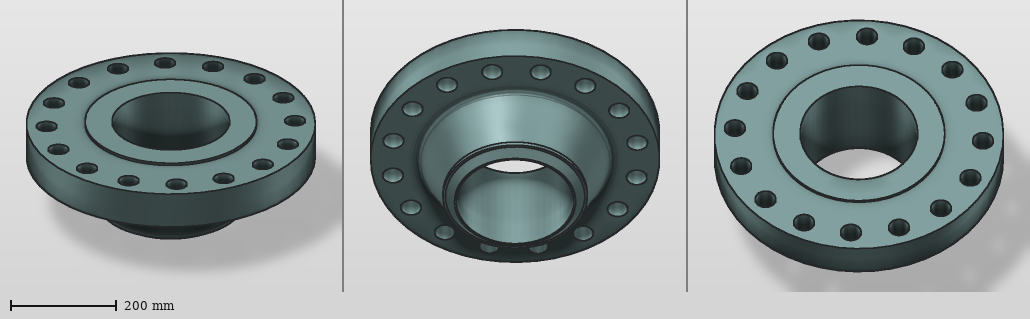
import cadquery as cq

flange_diameter = 546.0
flange_thickness = 71.0

face_diameter = 324.5
face_height = 5.0

overall_height = 190.5
hub_top_diameter = 366.0
hub_end_diameter = 273.0
hub_fillet = 15.5
bevel_start_diameter = 263.0
bevel_end_diameter = 229.5
bevel_height = 13.5
land_height = 8.0

bore_diameter = 222.0
bolt_count = 16
bolt_circle_diameter = 469.5
bolt_hole_diameter = 39.0

flange_bottom = -flange_thickness
hub_bottom = face_height - overall_height
land_bottom = hub_bottom + bevel_height
land_top = land_bottom + land_height


def make_body():
    """Revolve the half section of the flange, hub and bore about Z."""
    section = [
        (bore_diameter / 2, face_height),
        (face_diameter / 2, face_height),
        (face_diameter / 2, 0),
        (flange_diameter / 2, 0),
        (flange_diameter / 2, flange_bottom),
        (hub_top_diameter / 2, flange_bottom),
        (hub_end_diameter / 2, land_top),
        (hub_end_diameter / 2, land_bottom),
        (bevel_start_diameter / 2, land_bottom),
        (bevel_end_diameter / 2, hub_bottom),
        (bore_diameter / 2, hub_bottom),
    ]
    body = cq.Workplane("XZ").polyline(section).close().revolve(360, (0, 0), (0, 1))
    root_edge = cq.selectors.BoxSelector(
        (-hub_top_diameter, -hub_top_diameter, flange_bottom - land_height),
        (hub_top_diameter, hub_top_diameter, flange_bottom + land_height),
    )
    smallest_circle = cq.selectors.RadiusNthSelector(0)
    return body.edges(root_edge).edges(smallest_circle).fillet(hub_fillet)


def make_bolt_holes():
    """Ring of cylinders with one on the +X axis, passing through the disc."""
    return (
        cq.Workplane("XY")
        .polarArray(bolt_circle_diameter / 2, 0, 360, bolt_count)
        .circle(bolt_hole_diameter / 2)
        .extrude(-flange_thickness)
    )


result = make_body().cut(make_bolt_holes())